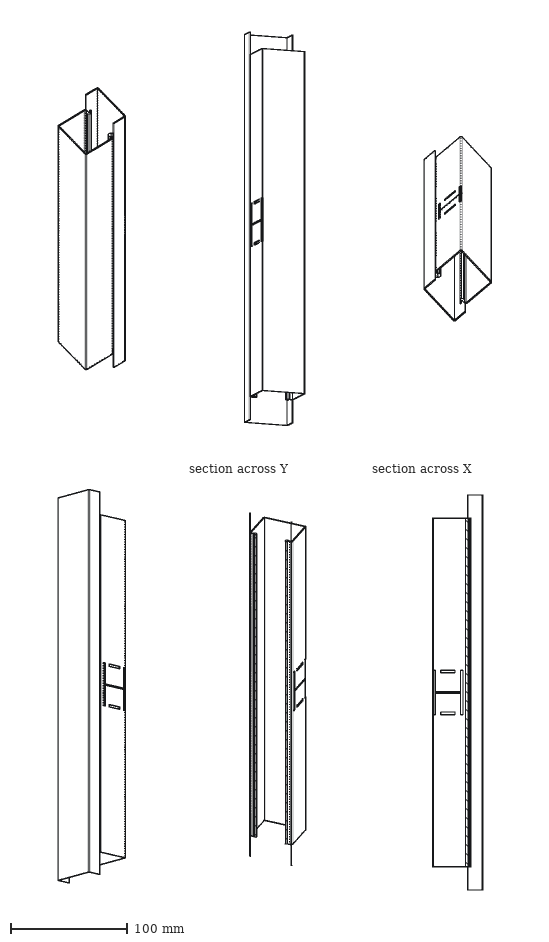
import cadquery as cq

width = 40.0
depth = 43.5
wall = 1.0
corner_radius = 1.5
half_width = width / 2
back = depth / 2
front = -depth / 2

cover_length = 340.0
joint_y = 8.5
lip_radius = 0.7

channel_length = 300.0
shoulder_radius = 1.7

hook_tip_inset = 3.5
hook_tip_y = 11.5
hook_reach = 6.5
hook_root_inset = 4.0
hook_bottom_y = 6.63
hook_top_y = 9.5
hook_tip_width = 1.0

flap_half_height = 19.0
gap = 2.0
parting_slit = 1.0
back_slot_y = 4.5
front_slot_y = -19.5
short_slot_length = 12.2
short_slot_center_y = -8.5


def extrude_centered(section, length):
    return section.extrude(length / 2, both=True)


def make_cover():
    """U-shaped cover with rounded back corners and rounded lips."""
    depth_y = back - joint_y
    center_y = (back + joint_y) / 2
    outer = cq.Workplane("XY").center(0, center_y).rect(width, depth_y)
    outer = extrude_centered(outer, cover_length)
    outer = outer.edges("|Z and >Y").fillet(corner_radius)
    outer = outer.edges("|Z and <Y").fillet(lip_radius)
    inner = cq.Workplane("XY").center(0, center_y - wall).rect(width - 2 * wall, depth_y)
    return outer.cut(extrude_centered(inner, cover_length))


def make_hook():
    """Snap hook on the -X side: an inward arm, a bulb and a sloping finger."""
    side = -half_width
    arm_bottom_y = joint_y - wall
    section = (
        cq.Workplane("XY")
        .moveTo(side + shoulder_radius, joint_y)
        .lineTo(side + hook_root_inset, joint_y)
        .lineTo(side + hook_reach - hook_tip_width, hook_top_y)
        .lineTo(side + hook_tip_inset, hook_tip_y - hook_tip_width)
        .lineTo(side + hook_tip_inset, hook_tip_y)
        .lineTo(side + hook_tip_inset + hook_tip_width, hook_tip_y)
        .lineTo(side + hook_reach, hook_top_y)
        .lineTo(side + hook_reach, arm_bottom_y)
        .lineTo(side + hook_reach - wall, hook_bottom_y)
        .lineTo(side + hook_root_inset, hook_bottom_y)
        .lineTo(side + hook_root_inset - wall, arm_bottom_y)
        .lineTo(side + shoulder_radius, arm_bottom_y)
        .close()
    )
    return extrude_centered(section, channel_length)


def cut_box(y_min, y_max, z_min, z_max):
    """Cutter through the -X wall, centred on its outer face."""
    size = (2 * wall, y_max - y_min, z_max - z_min)
    center = (-half_width, (y_min + y_max) / 2, (z_min + z_max) / 2)
    return cq.Workplane("XY").box(*size).translate(center)


def cut_flaps(channel):
    """Separate two knock-out flaps by slots, a slit and short hinge slots."""
    for slot_y in (back_slot_y, front_slot_y):
        channel = channel.cut(cut_box(slot_y - gap, slot_y, -flap_half_height, flap_half_height))
    channel = channel.cut(cut_box(front, back_slot_y - gap, -parting_slit / 2, parting_slit / 2))
    y_min = short_slot_center_y - short_slot_length / 2
    y_max = short_slot_center_y + short_slot_length / 2
    for z_min in (-flap_half_height, flap_half_height - gap):
        channel = channel.cut(cut_box(y_min, y_max, z_min, z_min + gap))
    return channel


def make_channel():
    """U-shaped channel with inturned shoulders, snap hooks and flaps."""
    depth_y = joint_y - front
    center_y = (joint_y + front) / 2
    outer = cq.Workplane("XY").center(0, center_y).rect(width, depth_y)
    outer = extrude_centered(outer, channel_length)
    outer = outer.edges("|Z and <Y").fillet(corner_radius)
    outer = outer.edges("|Z and >Y").fillet(shoulder_radius)
    inner = cq.Workplane("XY").center(0, center_y).rect(width - 2 * wall, depth_y - 2 * wall)
    channel = outer.cut(extrude_centered(inner, channel_length))

    mouth_width = width - 2 * hook_root_inset
    mouth = cq.Workplane("XY").center(0, joint_y).rect(mouth_width, 2 * wall)
    channel = channel.cut(extrude_centered(mouth, channel_length))

    hook = make_hook()
    channel = channel.union(hook).union(hook.mirror("YZ"))
    return cut_flaps(channel)


cover = make_cover()
channel = make_channel()
result = cq.Compound.makeCompound([cover.val(), channel.val()])